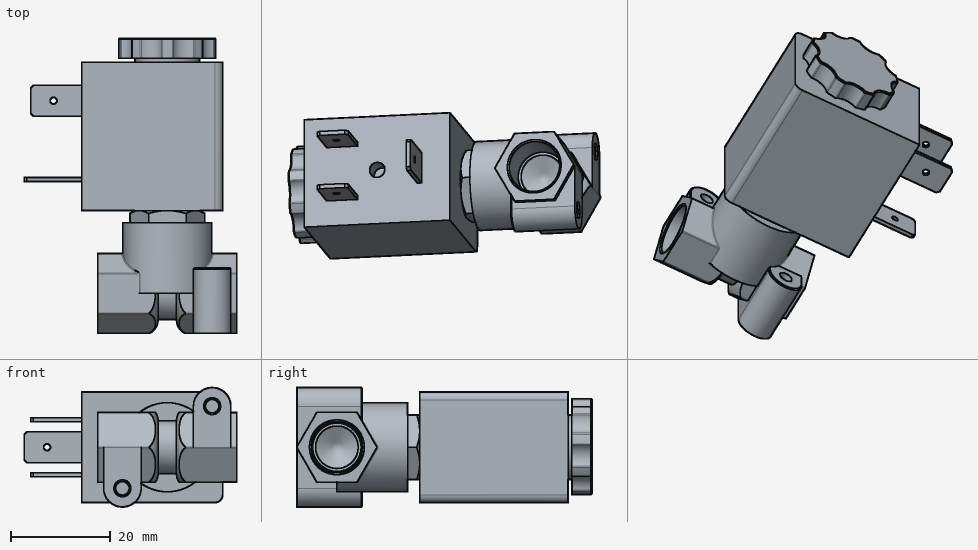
import cadquery as cq
import math


body_flat_radius = 7.0
body_corner_radius = body_flat_radius / math.cos(math.pi / 6)
body_edge_fillet = 0.25
body_y = body_corner_radius - body_edge_fillet * (1 / math.cos(math.pi / 6) - 1)
body_half_length = 13.95
neck_radius = 5.25
neck_half_width = 1.85
hex_end_radius = 3.0

port_mouth_radius = 5.15
port_floor_radius = 4.85
port_chamfer_width = 0.35
port_chamfer_depth = 0.25
port_depth = 8.0
port_cone_radius = 4.25
drill_tip_angle = 118

lug_x = 9.0
lug_width = 7.5
lug_tip_span = 23.95
lug_radius = lug_width / 2
lug_z = lug_tip_span / 2 - lug_radius
lug_length = 13.1
lug_back_chamfer = 0.25
lug_hole_radius = 1.35
lug_hole_chamfer = 0.325

stem_radius = 8.9
stem_back_y = 22.2
stem_root_fillet = 0.2
stem_nut_flat_radius = 6.5
stem_nut_corner_radius = stem_nut_flat_radius / math.cos(math.pi / 6)
stem_nut_chamfer_angle = 30

coil_left_x = -17.15
coil_right_x = 11.1
coil_front_y = 24.6
coil_back_y = 54.35
coil_height = 22.2
coil_corner_radius = 1.6
coil_screw_hole_radius = 1.55
coil_screw_hole_y = 39.45
coil_screw_hole_depth = 4.75

knob_back_y = 59.15
knob_front_y = 55.05
knob_radius = 9.75
knob_neck_radius = 6.5
knob_teeth = 9
knob_tooth_half_angle = 6.8
knob_flute_radius = 3.0
knob_back_chamfer = 0.25
knob_tooth_fillet = 0.3

blade_width = 6.25
blade_thickness = 0.8
blade_corner_chamfer = 0.6
blade_hole_radius = 0.65
blade_hole_inset = 4.6
blade_root = 0.6
side_blade_length = 10.2
side_blade_y = 46.6
side_blade_z = 5.5
middle_blade_length = 11.55
middle_blade_y = 30.8


def cylinder_along_y(radius, start_y, end_y, x=0, z=0):
    """Cylinder parallel to Y between two Y positions."""
    return cq.Workplane(cq.Solid.makeCylinder(
        radius, end_y - start_y, cq.Vector(x, start_y, z), cq.Vector(0, 1, 0)))


def body_hexagon():
    """One hexagonal half of the body on the +X side, rounded next to the neck."""
    length = body_half_length - neck_half_width
    bar = (
        cq.Workplane("YZ", origin=(neck_half_width, body_y, 0))
        .polygon(6, 2 * body_corner_radius)
        .extrude(length)
        .edges("|X").fillet(body_edge_fillet)
    )
    rise = body_corner_radius - neck_radius
    arc_start = (neck_half_width, body_y + neck_radius)
    arc_angle = math.asin(rise / hex_end_radius)

    def point_on_arc(angle):
        """Point on the end rounding, measured from where it leaves the neck face."""
        return (arc_start[0] + hex_end_radius * (1 - math.cos(angle)),
                arc_start[1] + hex_end_radius * math.sin(angle))

    envelope = (
        cq.Workplane("XY")
        .moveTo(neck_half_width, body_y)
        .lineTo(*arc_start)
        .threePointArc(point_on_arc(arc_angle / 2), point_on_arc(arc_angle))
        .lineTo(body_half_length, body_y + body_corner_radius)
        .lineTo(body_half_length, body_y)
        .close()
        .revolve(360, (0, body_y, 0), (1, body_y, 0))
    )
    return bar.intersect(envelope)


def port():
    """Chamfered, slightly tapered blind bore with a drill-point floor, entering from the +X end."""
    mouth_x = body_half_length
    floor_x = mouth_x - port_depth
    tip_x = floor_x - port_cone_radius / math.tan(math.radians(drill_tip_angle / 2))
    return (
        cq.Workplane("XY")
        .moveTo(mouth_x, body_y)
        .lineTo(mouth_x, body_y + port_mouth_radius + port_chamfer_width)
        .lineTo(mouth_x - port_chamfer_depth, body_y + port_mouth_radius)
        .lineTo(floor_x, body_y + port_floor_radius)
        .lineTo(floor_x, body_y + port_cone_radius)
        .lineTo(tip_x, body_y)
        .close()
        .revolve(360, (0, body_y, 0), (1, body_y, 0))
    )


def lug():
    """Round-ended mounting lug reaching up from the body on the +X side."""
    block = (
        cq.Workplane("XY")
        .box(lug_width, lug_length, lug_z, centered=(True, False, False))
        .translate((lug_x, 0, 0))
    )
    round_end = cylinder_along_y(lug_radius, 0, lug_length, lug_x, lug_z)
    return block.union(round_end).faces(">Y").chamfer(lug_back_chamfer)


def lug_hole():
    """Through hole of the lug with a countersunk front mouth."""
    hole = cylinder_along_y(lug_hole_radius, 0, lug_length, lug_x, lug_z)
    countersink = cq.Solid.makeCone(
        lug_hole_radius + lug_hole_chamfer, lug_hole_radius, lug_hole_chamfer,
        cq.Vector(lug_x, 0, lug_z), cq.Vector(0, 1, 0))
    return hole.union(cq.Workplane(countersink))


def opposite_end(shape):
    """Copy of a +X feature turned half a turn about the coil axis."""
    return shape.rotate((0, 0, 0), (0, 1, 0), 180)


def stem_root_selector():
    """Select the edges where the stem meets the body, behind the axis of the body."""
    margin = 0.05
    reach_x = stem_radius + margin
    reach_z = body_flat_radius + margin
    return cq.selectors.BoxSelector(
        (-reach_x, body_y + margin, -reach_z),
        (reach_x, body_y + body_corner_radius + margin, reach_z))


def valve_body():
    hexagon = body_hexagon()
    neck = (
        cq.Workplane("YZ", origin=(-neck_half_width, body_y, 0))
        .circle(neck_radius)
        .extrude(2 * neck_half_width)
    )
    stem = cylinder_along_y(stem_radius, body_y, stem_back_y)
    body = (
        hexagon.union(opposite_end(hexagon)).union(neck).union(stem)
        .edges(stem_root_selector()).fillet(stem_root_fillet)
    )
    body = body.union(lug()).union(opposite_end(lug()))
    for cutter in (port(), lug_hole()):
        body = body.cut(cutter).cut(opposite_end(cutter))
    return body


def stem_nut():
    """Hexagon nut between stem and coil, chamfered on the coil side."""
    height = coil_front_y - stem_back_y
    nut = (
        cq.Workplane("XZ", origin=(0, coil_front_y, 0))
        .polygon(6, 2 * stem_nut_corner_radius)
        .extrude(height)
    )
    slope = math.tan(math.radians(stem_nut_chamfer_angle))
    chamfer_cone = cq.Solid.makeCone(
        stem_nut_flat_radius + height / slope, stem_nut_flat_radius, height,
        cq.Vector(0, stem_back_y, 0), cq.Vector(0, 1, 0))
    return nut.intersect(cq.Workplane(chamfer_cone))


def coil():
    block = (
        cq.Workplane("XY")
        .box(coil_right_x - coil_left_x, coil_back_y - coil_front_y, coil_height,
             centered=(False, False, True))
        .translate((coil_left_x, coil_front_y, 0))
        .edges("|Y and >X").fillet(coil_corner_radius)
    )
    screw_hole = (
        cq.Workplane("YZ", origin=(coil_left_x, coil_screw_hole_y, 0))
        .circle(coil_screw_hole_radius)
        .extrude(coil_screw_hole_depth)
    )
    return block.cut(screw_hole)


def knob():
    """Fluted knob; one tooth points along +Z."""
    grip = cylinder_along_y(knob_radius, knob_front_y, knob_back_y)
    pitch = 360 / knob_teeth
    flute_half_angle = math.radians(pitch / 2 - knob_tooth_half_angle)
    half_chord = knob_radius * math.sin(flute_half_angle)
    flute_centre_radius = (
        knob_radius * math.cos(flute_half_angle)
        + math.sqrt(knob_flute_radius**2 - half_chord**2)
    )
    flute = cylinder_along_y(knob_flute_radius, knob_front_y, knob_back_y, z=flute_centre_radius)
    for index in range(knob_teeth):
        grip = grip.cut(flute.rotate((0, 0, 0), (0, 1, 0), (index + 0.5) * pitch))
    grip = grip.edges("|Y").fillet(knob_tooth_fillet)
    grip = grip.faces(">Y").chamfer(knob_back_chamfer)
    return grip.union(cylinder_along_y(knob_neck_radius, coil_back_y, knob_front_y))


def blade(length):
    """Flat spade terminal lying in XY, centred on Y = 0, pointing to -X."""
    tip_x = coil_left_x - length
    return (
        cq.Workplane("XY")
        .box(length + blade_root, blade_width, blade_thickness, centered=(False, True, True))
        .translate((tip_x, 0, 0))
        .edges("|Z and <X").chamfer(blade_corner_chamfer)
        .cut(cq.Workplane("XY", origin=(tip_x + blade_hole_inset, 0, 0))
             .circle(blade_hole_radius).extrude(blade_thickness, both=True))
    )


def terminals():
    side_blade = blade(side_blade_length)
    upright_blade = blade(middle_blade_length).rotate((0, 0, 0), (1, 0, 0), 90)
    blades = upright_blade.translate((0, middle_blade_y, 0))
    for z in (-side_blade_z, side_blade_z):
        blades = blades.union(side_blade.translate((0, side_blade_y, z)))
    return blades


result = valve_body().union(stem_nut()).union(coil()).union(knob()).union(terminals()).solids()